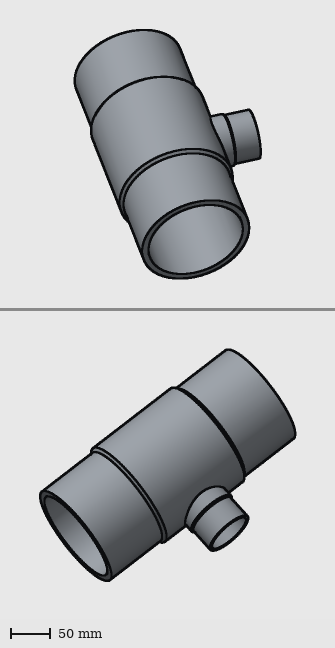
import cadquery as cq

run_length = 300.0
run_diameter = 140.0
run_bore = 123.3

sleeve_length = 135.0
sleeve_diameter = 148.2
sleeve_chamfer = (sleeve_diameter - run_diameter) / 2

branch_reach = 120.0
branch_diameter = 63.0
branch_wall = (run_diameter - run_bore) / 2 * branch_diameter / run_diameter
branch_bore = branch_diameter - 2 * branch_wall
collar_reach = 87.5
collar_diameter = 67.0
collar_chamfer = (collar_diameter - branch_diameter) / 2


def run_cylinder(diameter, length):
    """Cylinder along X, centred on the origin."""
    return cq.Workplane("YZ").circle(diameter / 2).extrude(length / 2, both=True)


def branch_cylinder(diameter, reach):
    """Cylinder from the run axis out along +Y."""
    return cq.Workplane("XZ").circle(diameter / 2).extrude(-reach)


sleeve = run_cylinder(sleeve_diameter, sleeve_length).edges("%CIRCLE").chamfer(sleeve_chamfer)
run = run_cylinder(run_diameter, run_length).union(sleeve)

collar = branch_cylinder(collar_diameter, collar_reach).faces(">Y").chamfer(collar_chamfer)
branch = branch_cylinder(branch_diameter, branch_reach).union(collar)

result = (
    run.union(branch)
    .cut(run_cylinder(run_bore, run_length))
    .cut(branch_cylinder(branch_bore, branch_reach))
)